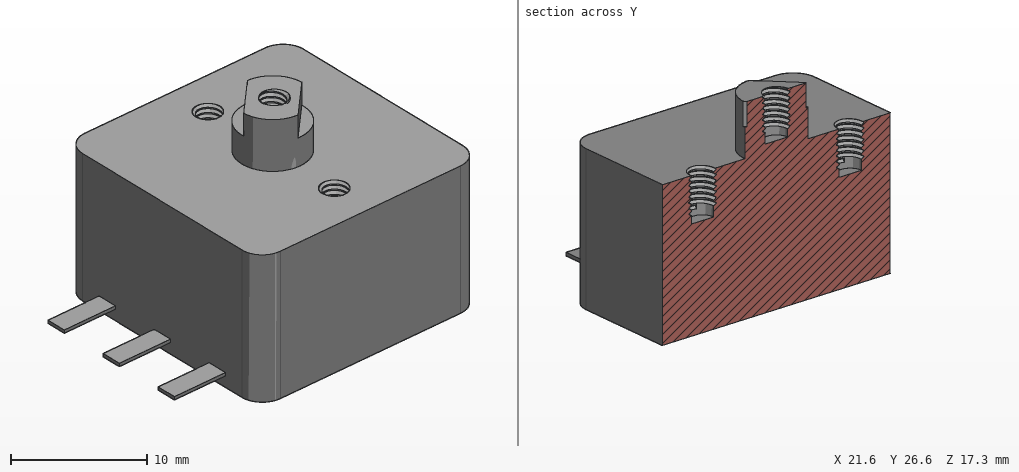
import cadquery as cq

body_side = 21.6
body_height = 12.8
corner_radius = 2.0

total_height = 17.3
shaft_diameter = 6.0
flat_to_flat = 4.0
flat_height = 2.0
flat_direction = 45.0

total_depth = 26.6
terminal_length = total_depth - body_side
terminal_width = 1.8
terminal_thickness = 0.3
terminal_base = 1.0
terminal_spacing = 6.1

minor_diameter = 2.07
major_diameter = 2.58
thread_pitch = 0.45
groove_mouth = 0.75 * thread_pitch
groove_overlap = 0.03
thread_turns = 7
thread_depth = thread_turns * thread_pitch
hole_floor_margin = 1.5 * thread_pitch
mount_hole_offset = 7.0
mount_thread_angle = -105.0
shaft_thread_angle = 75.0


def make_body():
    body = cq.Workplane("XY").rect(body_side, body_side).extrude(body_height)
    return body.edges("|Z").fillet(corner_radius)


def make_shaft():
    shaft = cq.Workplane("XY").workplane(offset=body_height)
    shaft = shaft.circle(shaft_diameter / 2).extrude(total_height - body_height)
    flat_base = total_height - flat_height
    for side in (-1, 1):
        cutter = (
            cq.Workplane("XY", origin=(0, 0, flat_base))
            .center(side * (flat_to_flat + shaft_diameter) / 2, 0)
            .rect(shaft_diameter, 2 * shaft_diameter)
            .extrude(flat_height)
            .rotate((0, 0, 0), (0, 0, 1), flat_direction)
        )
        shaft = shaft.cut(cutter)
    return shaft


def make_terminal(x):
    centre_distance = body_side / 2 + terminal_length / 2
    return (
        cq.Workplane("XY", origin=(x, -centre_distance, terminal_base))
        .rect(terminal_width, terminal_length)
        .extrude(terminal_thickness)
    )


def make_thread_groove():
    """V-groove helix whose root crosses Z = 0 on the +X side, running one turn above it."""
    minor_radius = minor_diameter / 2
    major_radius = major_diameter / 2
    overlap = groove_overlap
    groove_depth = major_radius - minor_radius
    inner_half_width = groove_mouth / 2 * (groove_depth + overlap) / groove_depth
    helix = cq.Wire.makeHelix(thread_pitch, thread_depth + thread_pitch, minor_radius)
    groove = (
        cq.Workplane("XZ")
        .moveTo(minor_radius - overlap, -inner_half_width)
        .lineTo(major_radius, 0)
        .lineTo(minor_radius - overlap, inner_half_width)
        .close()
        .sweep(cq.Workplane(obj=helix), isFrenet=True)
    )
    return groove.translate((0, 0, -thread_depth))


def cut_threaded_hole(part, x, top, start_angle):
    """Cut a bore with a thread whose groove meets the top face at the start angle."""
    bore_depth = thread_depth + hole_floor_margin
    clearance_above = 3.5 * thread_pitch
    bore = (
        cq.Workplane("XY", origin=(0, 0, -bore_depth))
        .circle(minor_diameter / 2)
        .extrude(bore_depth + clearance_above)
    )
    cutter = bore.union(make_thread_groove()).rotate((0, 0, 0), (0, 0, 1), start_angle)
    return part.cut(cutter.translate((x, 0, top)))


result = make_body().union(make_shaft())
for position in (-1, 0, 1):
    result = result.union(make_terminal(position * terminal_spacing))

for side in (-1, 1):
    result = cut_threaded_hole(result, side * mount_hole_offset, body_height, mount_thread_angle)
result = cut_threaded_hole(result, 0, total_height, shaft_thread_angle)